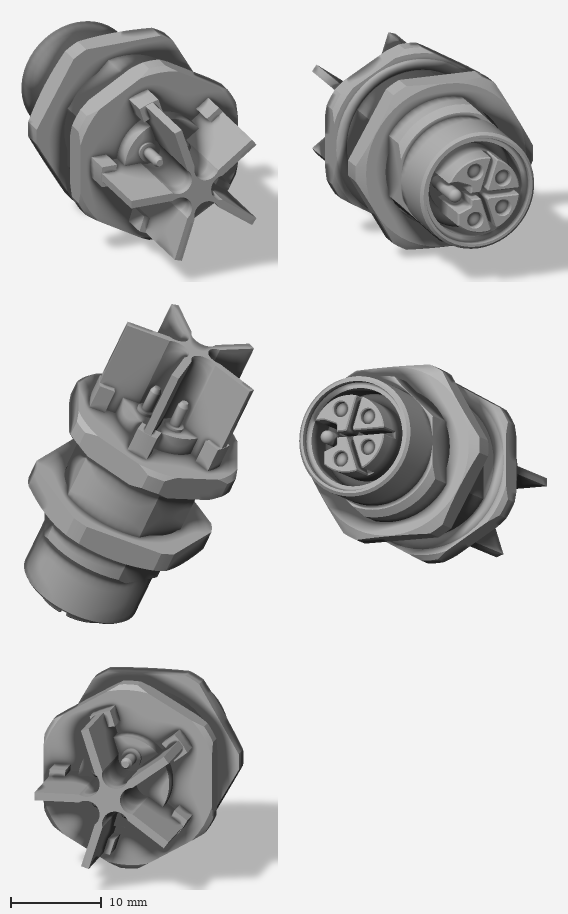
import cadquery as cq
import math


length = 34.95
sleeve_front = 1.55
socket_floor = 6.3
groove_floor = 3.15
body_front = 7.72
lock_nut_front = 11.5
lock_nut_rear = 14.35
panel_nut_front = 21.25
panel_nut_rear = 24.08
carrier_rear = 26.25
collar_rear = 26.6
block_rear = 27.0
pin_tip = 29.6

sleeve_diameter = 13.5
sleeve_chamfer = 0.3
mouth_diameter = 12.3
mouth_depth = 0.87
bore_diameter = 11.0
body_diameter = 15.85
body_chamfer = 0.75
flat_distance = sleeve_diameter / 2
flat_angles = (0, 180, 135, -45)

inner_ring_radius = 4.82
inner_ring_tube = 0.7
panel_ring_radius = 8.65
panel_ring_tube = 0.85
panel_ring_protrusion = 0.28

nut_across_flats = 19.0
lock_nut_corner_diameter = 21.0
panel_nut_corner_diameter = 20.9
lock_nut_bore = 14.25
lock_nut_face_radius = 9.45
panel_nut_face_radius = 9.93
nut_chamfer_length = 0.52

contact_circle = 2.95
position_count = 5
pitch_angle = 360 / position_count
contact_angles = [(position + 0.5) * pitch_angle for position in (0, 1, 3, 4)]
key_angle = 2.5 * pitch_angle

insert_diameter = 8.75
groove_width = 0.63
groove_meeting_size = 1.05
selection_margin = 0.35
insert_corner_radius = 0.28
insert_edge_chamfer = 0.15
socket_diameter = 1.7
socket_mouth_diameter = 1.95
socket_depth = 0.85
key_diameter = 1.5
key_tip = 0.25
pocket_inner_y = 1.4
pocket_inner_half_width = 1.2
pocket_outer_y = 2.95
pocket_outer_half_width = 1.78

carrier_radius = 5.15
collar_diameter = 2.2
pin_diameter = 1.25
pin_chamfer_length = 0.52
pin_chamfer_width = 0.25

star_radius = 8.2
arm_thickness = 0.9
hub_radius = 2.1
pin_clearance_radius = 1.5
block_width = 2.4
block_outer_radius = 8.3
block_inner_radius = 6.5


def axial_plane(x):
    """Plane across the connector axis; its local axes are Y and Z."""
    return cq.Workplane("YZ", origin=(x, 0, 0))


def cylinder(x_start, x_end, radius):
    return axial_plane(x_start).circle(radius).extrude(x_end - x_start)


def axial_box(y_start, y_end, z_start, z_end):
    """Selector for edges centered within a Y-Z rectangle of the insert."""
    return cq.selectors.BoxSelector(
        (0, y_start, z_start), (socket_floor, y_end, z_end), boundingbox=False
    )


def at_angle(shape, angle):
    """Turn a shape modelled on -Y so that it points at the angle from -Y towards +Z."""
    return shape.rotate((0, 0, 0), (1, 0, 0), -angle)


def revolve_profile(points):
    """Revolve a closed outline of (x, radius) points about the connector axis."""
    return cq.Workplane("XY").polyline(points).close().revolve(360, (0, 0, 0), (1, 0, 0))


def ring(x_center, radius, tube_radius):
    solid = cq.Solid.makeTorus(radius, tube_radius, cq.Vector(x_center, 0, 0), cq.Vector(1, 0, 0))
    return cq.Workplane(obj=solid)


def make_sleeve():
    sleeve = cylinder(sleeve_front, body_front, sleeve_diameter / 2)
    sleeve = sleeve.faces("<X").edges().chamfer(sleeve_chamfer)
    mouth = cylinder(sleeve_front, sleeve_front + mouth_depth, mouth_diameter / 2)
    bore = cylinder(sleeve_front, socket_floor, bore_diameter / 2)
    inner_ring = ring(socket_floor, inner_ring_radius, inner_ring_tube)
    return sleeve.cut(mouth).cut(bore).union(inner_ring)


def make_body():
    body = cylinder(body_front, panel_nut_rear, body_diameter / 2)
    body = body.faces("<X").edges().chamfer(body_chamfer)
    for angle in flat_angles:
        waste = cq.Workplane("XY").box(length, body_diameter, body_diameter)
        waste = waste.translate((length / 2, flat_distance + body_diameter / 2, 0))
        body = body.cut(waste.rotate((0, 0, 0), (1, 0, 0), angle))
    return body


def make_nut(x_start, x_end, face_radius, corner_radius, corner_angle, chamfer_rear):
    """Hexagon nut trimmed by a cylinder with a conical front and, if wanted, a conical rear."""
    hexagon_diameter = nut_across_flats / math.cos(math.radians(30))
    hexagon = axial_plane(x_start).polygon(6, hexagon_diameter).extrude(x_end - x_start)
    hexagon = hexagon.rotate((0, 0, 0), (1, 0, 0), corner_angle)
    outline = [
        (x_start, 0),
        (x_start, face_radius),
        (x_start + nut_chamfer_length, corner_radius),
    ]
    if chamfer_rear:
        outline += [(x_end - nut_chamfer_length, corner_radius), (x_end, face_radius)]
    else:
        outline += [(x_end, corner_radius)]
    outline += [(x_end, 0)]
    return hexagon.intersect(revolve_profile(outline))


def make_insert():
    insert_radius = insert_diameter / 2
    insert = cylinder(0, socket_floor, insert_radius)

    slot = axial_plane(0).center(-insert_radius, 0).rect(2 * insert_radius, groove_width)
    slot = slot.extrude(groove_floor)
    for index in (-1, 0, 1):
        insert = insert.cut(at_angle(slot, index * pitch_angle))
    center_slot = axial_plane(0).center(pocket_inner_y / 2, 0).rect(pocket_inner_y, groove_width)
    insert = insert.cut(center_slot.extrude(groove_floor))

    pocket = (
        axial_plane(0)
        .moveTo(pocket_inner_y, -pocket_inner_half_width)
        .lineTo(pocket_outer_y, -pocket_outer_half_width)
        .lineTo(pocket_outer_y, -insert_radius)
        .lineTo(insert_radius, -insert_radius)
        .lineTo(insert_radius, pocket_outer_half_width)
        .lineTo(pocket_outer_y, pocket_outer_half_width)
        .lineTo(pocket_inner_y, pocket_inner_half_width)
        .close()
        .extrude(socket_floor)
    )
    pocket_corners = axial_box(
        pocket_inner_y - selection_margin, pocket_inner_y + selection_margin,
        -pocket_outer_half_width, pocket_outer_half_width,
    )
    insert = insert.cut(pocket.edges("|X").edges(pocket_corners).fillet(insert_corner_radius))

    core = axial_box(-groove_meeting_size, groove_meeting_size, -groove_meeting_size, groove_meeting_size)
    groove_side = axial_box(-insert_radius, 0, -insert_radius, insert_radius)
    insert = insert.edges("|X").edges(groove_side - core).chamfer(insert_edge_chamfer)
    insert = insert.edges("|X").edges(core).fillet(insert_corner_radius)
    return insert.faces("<X").edges().chamfer(insert_edge_chamfer)


def cut_sockets(insert):
    """Cut the countersunk blind holes that receive the mating contacts."""
    hole_radius = socket_diameter / 2
    mouth_radius = socket_mouth_diameter / 2
    hole = revolve_profile([
        (0, 0),
        (0, mouth_radius),
        (mouth_radius - hole_radius, hole_radius),
        (socket_depth, hole_radius),
        (socket_depth, 0),
    ])
    hole = hole.translate((0, -contact_circle, 0))
    for angle in contact_angles:
        insert = insert.cut(at_angle(hole, angle))
    return insert


def make_key():
    """Round key post with a domed tip."""
    key_radius = key_diameter / 2
    dome_center = key_tip + key_radius
    dome = cq.Workplane("XY").sphere(key_radius).translate((dome_center, 0, 0))
    key = cylinder(dome_center, socket_floor, key_radius).union(dome)
    return at_angle(key.translate((0, -contact_circle, 0)), key_angle)


def make_star():
    """Five shield arms on a hub, hollowed by a cylinder between each pair of arms."""
    arm_length = length - panel_nut_rear
    star = cylinder(panel_nut_rear, length, hub_radius)
    arm = axial_plane(panel_nut_rear).center(-star_radius / 2, 0).rect(star_radius, arm_thickness)
    arm = arm.extrude(arm_length)
    block = cylinder(panel_nut_rear, block_rear, block_outer_radius)
    block = block.cut(cylinder(panel_nut_rear, block_rear, block_inner_radius))
    block_slot = axial_plane(panel_nut_rear).center(-block_outer_radius / 2, 0)
    block = block.intersect(block_slot.rect(block_outer_radius, block_width).extrude(arm_length))
    clearance = cylinder(panel_nut_rear, length, pin_clearance_radius).translate((0, -contact_circle, 0))
    for index in range(position_count):
        star = star.union(at_angle(arm.union(block), index * pitch_angle))
    for index in range(position_count):
        star = star.cut(at_angle(clearance, (index + 0.5) * pitch_angle))
    return star


def make_carrier():
    carrier = cylinder(panel_nut_rear, carrier_rear, carrier_radius)
    pin = cylinder(carrier_rear, pin_tip, pin_diameter / 2)
    pin = pin.faces(">X").edges().chamfer(pin_chamfer_length, pin_chamfer_width)
    pin = pin.union(cylinder(carrier_rear, collar_rear, collar_diameter / 2))
    pin = pin.translate((0, -contact_circle, 0))
    for angle in contact_angles:
        carrier = carrier.union(at_angle(pin, angle))
    return carrier


lock_nut = make_nut(
    lock_nut_front, lock_nut_rear, lock_nut_face_radius, lock_nut_corner_diameter / 2, 0, False
)
lock_nut = lock_nut.cut(cylinder(lock_nut_front, lock_nut_rear, lock_nut_bore / 2))
panel_nut = make_nut(
    panel_nut_front, panel_nut_rear, panel_nut_face_radius, panel_nut_corner_diameter / 2, 90, True
)
panel_ring_center = panel_nut_front - panel_ring_protrusion + panel_ring_tube
panel_ring = ring(panel_ring_center, panel_ring_radius, panel_ring_tube)
insert = cut_sockets(make_insert())

result = make_sleeve().union(make_body()).union(lock_nut).union(panel_nut).union(panel_ring)
result = result.union(insert).union(make_key()).union(make_star()).union(make_carrier())